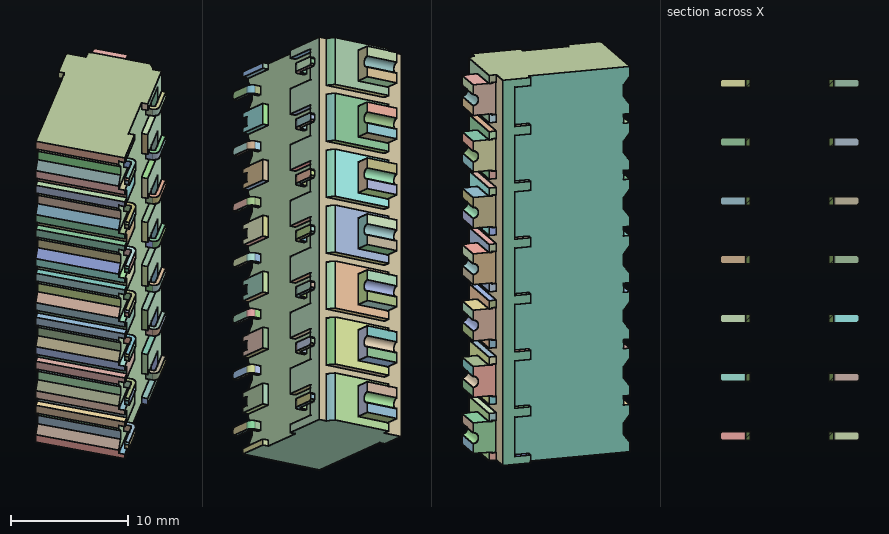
import cadquery as cq

POLES = 7
HEIGHT = 34.2
POLE_HEIGHT = 4.2
PITCH = (HEIGHT - POLE_HEIGHT) / (POLES - 1)
GAP = PITCH - POLE_HEIGHT
POLE_CENTERS = [POLE_HEIGHT / 2 + i * PITCH for i in range(POLES)]

WALL_STEP = 0.55
WIDTH = 8.45
FRONT_Y = 0.72
SHOULDER_Y = 12.3
FLANGE_Y = 9.8
BACK_Y = 12.95
BACK_LEFT_X = 1.75
BACK_RIGHT_X = 7.2
CURVE_MID = (7.5, 12.7)
CURVE_END_X = 7.7
NOTCH_X = WIDTH - WALL_STEP
NOTCH_START_Y = 3.8
NOTCH_END_Y = 7.9

TAB_HEIGHT = 0.72
FLANGE_LIP_Y = 11.22

GROOVE_DEPTH = 0.58
GROOVE_MOUTH = 2.45
GROOVE_FLOOR = 0.95

FRONT_RECESS_HEIGHT = 3.15
BACK_RECESS_HEIGHT = 2.75
RECESS_LENGTH = NOTCH_START_Y - FRONT_Y

BUTTON_X = 1.85
BUTTON_LENGTH = 3.05
BUTTON_HEIGHT = 2.75
BUTTON_TOP_Y = 14.35
BUTTON_NOTCH_RADIUS = 0.48
SEAT_UNDERCUT_HEIGHT = 2.87
SEAT_UNDERCUT_TOP_Y = 12.7

PIN_END_X = 9.0
PIN_THICKNESS = 0.38
PIN_HEIGHT = 0.75
PIN_BEND_Y = 2.65
PIN_OUTER_RADIUS = 0.5
PIN_INNER_RADIUS = PIN_OUTER_RADIUS - PIN_THICKNESS
PIN_TIP_CHAMFER = 0.155
PIN_ROW_LENGTH = 11.87


def block(x0, x1, y0, y1, z0, z1):
    """Axis-aligned box between two opposite corners."""
    return cq.Workplane("XY").box(x1 - x0, y1 - y0, z1 - z0, centered=False).translate((x0, y0, z0))


def slot(x0, x1, y0, y1, height):
    """Box centred on Z = 0."""
    return block(x0, x1, y0, y1, -height / 2, height / 2)


def make_housing():
    return (
        cq.Workplane("XY")
        .moveTo(WALL_STEP, FRONT_Y)
        .lineTo(WIDTH, FRONT_Y)
        .lineTo(WIDTH, NOTCH_START_Y)
        .lineTo(NOTCH_X, NOTCH_START_Y)
        .lineTo(NOTCH_X, NOTCH_END_Y)
        .lineTo(WIDTH, NOTCH_END_Y)
        .lineTo(WIDTH, SHOULDER_Y)
        .lineTo(CURVE_END_X, SHOULDER_Y)
        .threePointArc(CURVE_MID, (BACK_RIGHT_X, BACK_Y))
        .lineTo(BACK_LEFT_X, BACK_Y)
        .lineTo(BACK_LEFT_X, SHOULDER_Y)
        .lineTo(0, SHOULDER_Y)
        .lineTo(0, FLANGE_Y)
        .lineTo(WALL_STEP, FLANGE_Y)
        .close()
        .extrude(HEIGHT)
    )


def cut_gaps(body):
    """Open the front groove and the back slot between neighbouring poles."""
    for i in range(POLES - 1):
        z0 = i * PITCH + POLE_HEIGHT
        z1 = z0 + GAP
        body = body.cut(block(WALL_STEP, WIDTH, FRONT_Y, FRONT_Y + GROOVE_DEPTH, z0, z1))
        body = body.cut(block(BACK_LEFT_X, WIDTH, SHOULDER_Y, BACK_Y, z0, z1))
    return body


def cut_flange_pockets(body):
    """Leave a flange tab at each gap and at both ends of the row."""
    for i in range(POLES):
        z0 = TAB_HEIGHT if i == 0 else i * PITCH
        z1 = HEIGHT - TAB_HEIGHT if i == POLES - 1 else i * PITCH + POLE_HEIGHT
        body = body.cut(block(0, WALL_STEP, FLANGE_Y, FLANGE_LIP_Y, z0, z1))
    return body


def make_pole_cutter():
    """Front groove, both pin recesses and the button seat, centred on Z = 0."""
    floor_y = FRONT_Y + GROOVE_DEPTH
    groove = (
        cq.Workplane("YZ")
        .polyline([
            (FRONT_Y, -GROOVE_MOUTH / 2),
            (floor_y, -GROOVE_FLOOR / 2),
            (floor_y, GROOVE_FLOOR / 2),
            (FRONT_Y, GROOVE_MOUTH / 2),
        ])
        .close()
        .extrude(WIDTH)
    )
    front_recess = slot(NOTCH_X, WIDTH, FRONT_Y, NOTCH_START_Y, FRONT_RECESS_HEIGHT)
    back_recess = slot(NOTCH_X, WIDTH, NOTCH_END_Y, NOTCH_END_Y + RECESS_LENGTH, BACK_RECESS_HEIGHT)
    button_seat = slot(BACK_LEFT_X, BUTTON_X, SHOULDER_Y, BACK_Y, BUTTON_HEIGHT)
    undercut = slot(BACK_LEFT_X, BUTTON_X, SHOULDER_Y, SEAT_UNDERCUT_TOP_Y, SEAT_UNDERCUT_HEIGHT)
    cutter = groove
    for recess in (front_recess, back_recess, button_seat, undercut):
        cutter = cutter.union(recess)
    return cutter


def make_button():
    """Push button with a half-round groove across its top."""
    button = slot(BUTTON_X, BUTTON_X + BUTTON_LENGTH, SHOULDER_Y, BUTTON_TOP_Y, BUTTON_HEIGHT)
    groove = cq.Workplane("YZ").center(BUTTON_TOP_Y, 0).circle(BUTTON_NOTCH_RADIUS).extrude(WIDTH)
    return button.cut(groove)


def make_front_pin():
    """Pin leaving the recess along +X and bending toward -Y."""
    inner_x = PIN_END_X - PIN_THICKNESS
    inner_y = PIN_BEND_Y - PIN_THICKNESS
    root_x = NOTCH_X - WALL_STEP
    pin = (
        cq.Workplane("XY")
        .moveTo(root_x, inner_y)
        .lineTo(inner_x - PIN_INNER_RADIUS, inner_y)
        .radiusArc((inner_x, inner_y - PIN_INNER_RADIUS), PIN_INNER_RADIUS)
        .lineTo(inner_x, 0)
        .lineTo(PIN_END_X, 0)
        .lineTo(PIN_END_X, PIN_BEND_Y - PIN_OUTER_RADIUS)
        .radiusArc((PIN_END_X - PIN_OUTER_RADIUS, PIN_BEND_Y), -PIN_OUTER_RADIUS)
        .lineTo(root_x, PIN_BEND_Y)
        .close()
        .extrude(PIN_HEIGHT / 2, both=True)
    )
    return pin.faces("<Y").edges("|X").chamfer(PIN_TIP_CHAMFER)


result = cut_flange_pockets(cut_gaps(make_housing()))

pole_cutter = make_pole_cutter()
button = make_button()
front_pin = make_front_pin()
back_pin = front_pin.mirror("XZ").translate((0, PIN_ROW_LENGTH, 0))

for z in POLE_CENTERS:
    result = result.cut(pole_cutter.translate((0, 0, z)))
    for feature in (button, front_pin, back_pin):
        result = result.union(feature.translate((0, 0, z)))